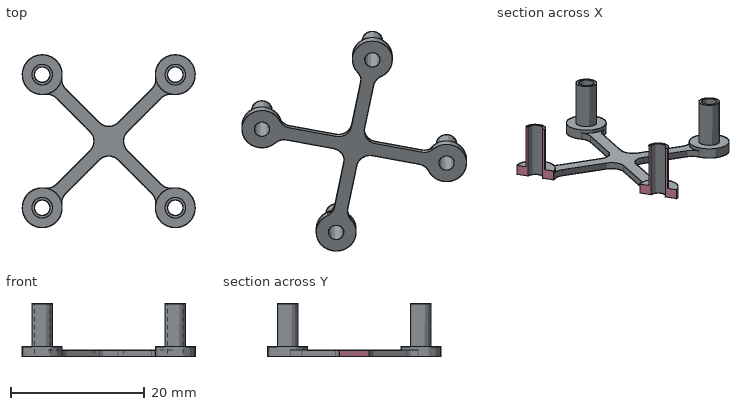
import cadquery as cq
import math

overall_width = 26.0
overall_height = 7.95
pad_diameter = 6.0
pad_thickness = 1.5
tube_diameter = 3.1
bore_diameter = 2.3
arm_width = 2.0
arm_thickness = 1.0
fillet_radius = 2.0

pad_offset = (overall_width - pad_diameter) / 2
arm_reach = pad_offset * math.sqrt(2)
arm_angles = [45, 135, 225, 315]


def disc(diameter, height):
    """Upright cylinder standing on the base plane at the end of an arm along +X."""
    return cq.Workplane("XY").center(arm_reach, 0).circle(diameter / 2).extrude(height)


def vertical_edges(body, x_min, x_max):
    """Vertical edges of a body inside the band of an arm, between two X positions."""
    box = cq.selectors.BoxSelector(
        (x_min, -arm_width, -overall_height), (x_max, arm_width, overall_height)
    )
    return body.edges("|Z").edges(box)


def flared_arm():
    """Flat arm along +X, blended into a disc of the same thickness under the pad."""
    bar = cq.Workplane("XY").box(arm_reach, arm_width, arm_thickness, centered=(False, True, False))
    arm = bar.union(disc(pad_diameter, arm_thickness))
    return vertical_edges(arm, arm_reach / 2, arm_reach).fillet(fillet_radius)


def at_each_arm(body):
    """Union of copies of a body turned about Z to every arm direction."""
    copies = cq.Workplane("XY")
    for angle in arm_angles:
        copies = copies.union(body.rotate((0, 0, 0), (0, 0, 1), angle))
    return copies


cross = at_each_arm(flared_arm())
cross = vertical_edges(cross, -arm_width, arm_width).fillet(fillet_radius)

posts = disc(pad_diameter, pad_thickness).union(disc(tube_diameter, overall_height))
bores = disc(bore_diameter, overall_height)

result = cross.union(at_each_arm(posts)).cut(at_each_arm(bores))